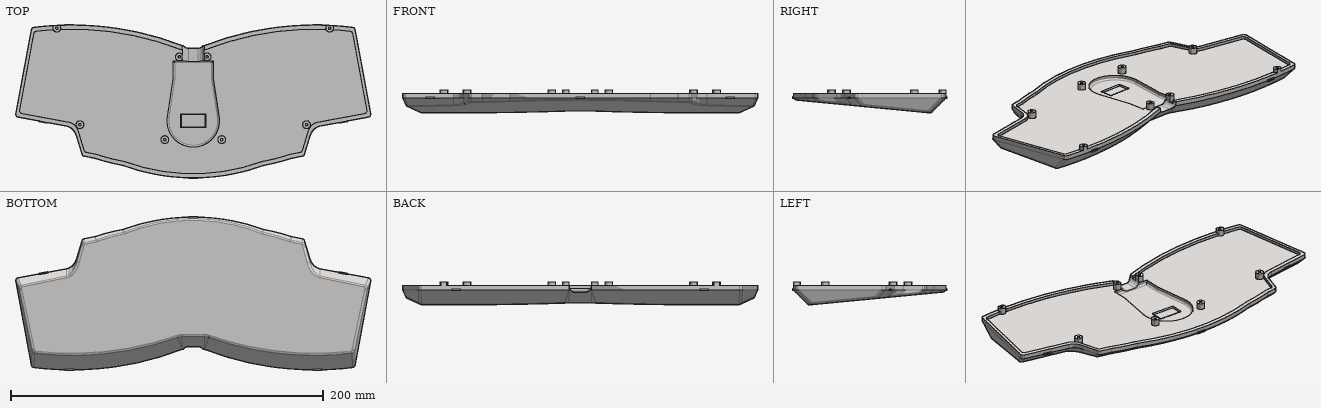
import cadquery as cq
import math


half_width = 113.7
rim_height = 2.7
boss_height = 2.3
lower_depth = 11.4
edge_draft = 45.0
side_draft = 14.0
corner_radius = 2.0
notch_radius = 8.0
side_foot_radius = 1.8

wing_angle = math.radians(10.5)
rear_apex = (-77.8, 98.0)
rear_radius = 195.5
wing_overrun_x = -141.0

notch = (-76.5, 32.3)
palm_corner = (-71.0, 14.0)
flare = (-62.8, 12.5)
bow = (-45.0, 8.0)
flare_sag = 0.35
palm_overrun_x = -113.7
palm_rear_y = 56.8
flare_slope = (palm_corner[1] - flare[1]) / (flare[0] - palm_corner[0])
palm_angle = math.atan2(notch[0] - palm_corner[0], notch[1] - palm_corner[1])

corner_gain = corner_radius * (math.cos(wing_angle) + math.sin(wing_angle) - 1)
wing_corner_x = -half_width - corner_gain
wing_corner = (wing_corner_x, notch[1] + (notch[0] - wing_corner_x) * math.tan(wing_angle))

underside_start = 4.0
underside_slope = 0.096

floor_depth = 1.8
rim_width = 2.7
side_rim_width = 2.0

pocket_depth = 4.5
pocket_neck_half = 13.0
pocket_rear_y = 75.0
pocket_neck_y = 63.5
pocket_radius = 16.8
pocket_centre_y = 36.5
pocket_fillet = 1.1

recess_length = 16.4
recess_width = 8.9
recess_depth = 1.0
recess_draft = 30.0

channel_half = 7.0
channel_depth = 4.3
channel_fillet = 3.9

boss_diameter = 5.0
boss_hole = 1.5
boss_places = [(-87.3, 96.0), (-72.5, 34.0), (-18.2, 24.5), (-8.9, 77.5)]

ridge_length = 5.7
ridge_height = 1.1
ridge_reach = 0.35
rear_ridge_x = -79.4
wing_ridge_x = -96.0

far = 454.8
corner_reach = 11.4
steep = 0.4


def flip(point):
    """The matching point on the right half."""
    return (-point[0], point[1])


def both_halves(points):
    return points + [flip(point) for point in points]


def rear_point(x):
    """Point on the rear arc of the left wing."""
    return (x, rear_apex[1] - rear_radius + math.sqrt(rear_radius**2 - (x - rear_apex[0]) ** 2))


def wing_front_point(x):
    """Point on the straight front edge of the left wing."""
    return (x, notch[1] + (notch[0] - x) * math.tan(wing_angle))


def wing_edges():
    """Wings bounded by the rear arcs and the slanted front edges, running past their ends."""
    rear_inner = rear_point(-channel_half)
    rear_middle = rear_point((wing_overrun_x - channel_half) / 2)
    rear_outer = rear_point(wing_overrun_x)
    front_outer = wing_front_point(wing_overrun_x)
    return (
        cq.Workplane("XY")
        .moveTo(*rear_inner)
        .threePointArc(rear_middle, rear_outer)
        .lineTo(*front_outer)
        .lineTo(*wing_front_point(0))
        .lineTo(*flip(front_outer))
        .lineTo(*flip(rear_outer))
        .threePointArc(flip(rear_middle), flip(rear_inner))
        .close()
    )


def palm_edges():
    """Palm rest bounded in front by the bow and its flares, running past the notches."""
    flare_middle = ((flare[0] + bow[0]) / 2, (flare[1] + bow[1]) / 2 - flare_sag)
    front_outer = (palm_overrun_x, flare[1] + (flare[0] - palm_overrun_x) * flare_slope)
    rear_outer = (palm_overrun_x, palm_rear_y)
    return (
        cq.Workplane("XY")
        .moveTo(*rear_outer)
        .lineTo(*front_outer)
        .lineTo(*flare)
        .threePointArc(flare_middle, bow)
        .threePointArc((0, 0), flip(bow))
        .threePointArc(flip(flare_middle), flip(flare))
        .lineTo(*flip(front_outer))
        .lineTo(*flip(rear_outer))
        .close()
    )


def side_point(corner, angle, y, inset=0.0):
    """Point at height y on a slanted side through the corner, moved inward by the inset."""
    return (corner[0] + inset / math.cos(angle) + (y - corner[1]) * math.tan(angle), y)


def side_plan(corner, angle, inset):
    """Trapezoid between a slanted left side and its mirror image."""
    front = side_point(corner, angle, -far / 4, inset)
    rear = side_point(corner, angle, far / 2, inset)
    return cq.Workplane("XY").polyline([front, rear, flip(rear), flip(front)]).close()


def corner_edges(solid, corners):
    """Steep edges of the solid that run close to the given plan corners, on both halves."""
    chosen = []
    for edge in solid.edges().vals():
        middle = edge.Center()
        gaps = [math.hypot(middle.x - x, middle.y - y) for x, y in both_halves(corners)]
        if min(gaps) < corner_reach and abs(edge.tangentAt(0).z) > steep:
            chosen.append(edge)
    return solid.newObject(chosen)


def plate(depth, inset=0.0, side_inset=0.0, draft=0.0, steep_draft=0.0):
    """Wings and palm rest down to the given depth, with rounded corners and notches."""
    wing_ends = side_plan(wing_corner, wing_angle, side_inset)
    notch_sides = side_plan(notch, palm_angle, side_inset)

    def trimmed(edges, sides):
        outline = edges.offset2D(-inset) if inset else edges
        return outline.extrude(-depth, taper=draft).intersect(sides.extrude(-depth, taper=steep_draft))

    solid = trimmed(wing_edges(), wing_ends).union(trimmed(palm_edges(), notch_sides))
    wing_rear_corner = side_point(wing_corner, wing_angle, rear_apex[1])
    solid = corner_edges(solid, [wing_corner, wing_rear_corner, palm_corner]).fillet(corner_radius)
    return corner_edges(solid, [notch]).fillet(notch_radius)


def underside_cutter():
    """Everything below the sloping underside."""
    def at_underside(y):
        return (y, -(underside_start + underside_slope * y))

    profile = [at_underside(-far), at_underside(far), (far, -far), (-far, -far)]
    return cq.Workplane("YZ").polyline(profile).close().extrude(far, both=True)


def lower_part():
    """Drafted part below the band, with the foot of its steep sides rounded."""
    solid = plate(lower_depth, draft=edge_draft, steep_draft=side_draft)
    solid = solid.translate((0, 0, -rim_height)).cut(underside_cutter())
    foot = [
        edge
        for edge in solid.faces("<Z").edges("%LINE").vals()
        if abs(edge.tangentAt(0).y) > abs(edge.tangentAt(0).x)
    ]
    return solid.newObject(foot).fillet(side_foot_radius)


def ridges():
    """Small snap bars half sunk into the outer wall at the lower edge of the band."""
    wing_place = wing_front_point(wing_ridge_x)
    wing_turn = math.degrees(wing_angle)
    spots = [
        ((0, 0), 0),
        (wing_place, -wing_turn),
        (flip(wing_place), wing_turn),
        (rear_point(rear_ridge_x), 0),
        (flip(rear_point(rear_ridge_x)), 0),
    ]
    sunk = ridge_height
    bars = cq.Workplane("XY")
    for (x, y), turn in spots:
        inward = 1 if y < rear_apex[1] / 2 else -1
        bar = cq.Workplane("XY").box(ridge_length, ridge_reach + sunk, ridge_height)
        bar = bar.translate((0, inward * (sunk - ridge_reach) / 2, -rim_height))
        bars = bars.add(bar.rotate((0, 0, 0), (0, 0, 1), turn).translate((x, y, 0)))
    return bars.combine()


def tray():
    return plate(floor_depth, inset=rim_width, side_inset=side_rim_width)


def pocket():
    """Straight neck that flares tangentially into a round front."""
    run = pocket_neck_y - pocket_centre_y
    reach = math.hypot(pocket_neck_half, run)
    touch_angle = math.atan2(run, -pocket_neck_half) + math.acos(pocket_radius / reach)
    touch = (
        pocket_radius * math.cos(touch_angle),
        pocket_centre_y + pocket_radius * math.sin(touch_angle),
    )
    neck = (-pocket_neck_half, pocket_neck_y)
    rear = (-pocket_neck_half, pocket_rear_y)
    return (
        cq.Workplane("XY")
        .moveTo(*rear)
        .lineTo(*neck)
        .lineTo(*touch)
        .threePointArc((0, pocket_centre_y - pocket_radius), flip(touch))
        .lineTo(*flip(neck))
        .lineTo(*flip(rear))
        .close()
        .extrude(-pocket_depth)
        .faces("<Z")
        .edges()
        .fillet(pocket_fillet)
    )


def recess():
    return (
        cq.Workplane("XY", origin=(0, pocket_centre_y, -pocket_depth))
        .rect(recess_length, recess_width)
        .extrude(-recess_depth, taper=recess_draft)
    )


def channel():
    """Channel with rounded bottom corners, from the pocket out through the rear wall."""
    front_y = pocket_rear_y - pocket_fillet
    return (
        cq.Workplane("XY", origin=(0, front_y, -channel_depth))
        .rect(2 * channel_half, far, centered=(True, False))
        .extrude(channel_depth + boss_height)
        .edges("<Z and |Y")
        .fillet(channel_fillet)
    )


def boss_cylinders(diameter):
    """Cylinders from the tray floor to the boss tops at every boss place."""
    return (
        cq.Workplane("XY", origin=(0, 0, -floor_depth))
        .pushPoints(both_halves(boss_places))
        .circle(diameter / 2)
        .extrude(floor_depth + boss_height)
    )


def bosses():
    """Screw bosses, cut flush with the outer wall and with the channel."""
    outline = plate(floor_depth + boss_height).translate((0, 0, boss_height))
    return boss_cylinders(boss_diameter).intersect(outline).cut(channel())


shell = plate(rim_height).union(lower_part()).union(ridges())
shell = shell.cut(tray()).cut(pocket()).cut(recess()).cut(channel())
result = shell.union(bosses()).cut(boss_cylinders(boss_hole))